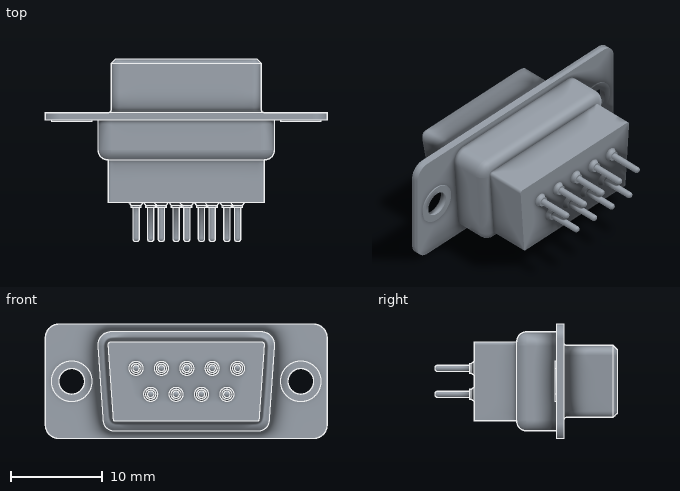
import cadquery as cq
import math


flange_width = 30.8
flange_height = 12.55
flange_thickness = 0.83
flange_corner_radius = 1.55
mount_hole_offset = 12.5
mount_hole_radius = 1.4
eyelet_radius = 2.22
eyelet_rise = 0.15
mount_hole_rounding = 0.43


body_side_angle = math.radians(4.0)
body_half_height = 4.3
body_mean_half_width = 8.25
body_top_radius = 0.35
body_bottom_radius = 0.1
body_length = 4.65

shell_offset = 1.1
shell_length = 4.35
shell_rim_radius = 1.08

plug_half_height = 3.95
plug_mean_half_width = 7.7
plug_side_angle = math.radians(10.0)
plug_length = 5.85
plug_top_radius = 0.95
plug_bottom_radius = 0.77
plug_chamfer = 0.5
plug_root_radius = 0.28

pin_pitch = 2.77
pin_row_height = 1.42
upper_row_count = 5
upper_row_start = -5.48
lower_row_count = 4
lower_row_start = -3.88
pin_length = 4.28
pin_radius = 0.355
pin_tip_radius = 0.3
collar_base_radius = 0.77
collar_neck_radius = 0.55
collar_cone_length = 0.3
collar_length = 0.52

flange_front = -flange_thickness
shell_half_height = body_half_height + shell_offset
shell_mean_half_width = body_mean_half_width + shell_offset / math.cos(body_side_angle)
shell_front = flange_front - shell_length
body_front = shell_front - body_length


def front_plane(y):
    """Sketch plane at depth y with its normal toward -Y, so extrusion runs forward."""
    return cq.Workplane("XZ", origin=(0, y, 0))


def d_prism(y_front, y_back, half_height, mean_half_width, side_angle, top_radius, bottom_radius):
    """Prism of a D outline with rounded corners."""
    lean = half_height * math.tan(side_angle)
    top = mean_half_width + lean
    bottom = mean_half_width - lean
    outline = [
        (-bottom, -half_height),
        (bottom, -half_height),
        (top, half_height),
        (-top, half_height),
    ]
    prism = front_plane(y_back).polyline(outline).close().extrude(y_back - y_front)
    prism = prism.faces(">Z").edges("|Y").fillet(top_radius)
    return prism.faces("<Z").edges("|Y").fillet(bottom_radius)


def make_flange():
    plate = (
        front_plane(0)
        .rect(flange_width, flange_height)
        .extrude(flange_thickness)
        .edges("|Y")
        .fillet(flange_corner_radius)
    )
    hole_centres = [(-mount_hole_offset, 0), (mount_hole_offset, 0)]
    eyelets = (
        front_plane(0)
        .pushPoints(hole_centres)
        .circle(eyelet_radius)
        .extrude(flange_thickness + eyelet_rise)
    )
    holes = (
        front_plane(0)
        .pushPoints(hole_centres)
        .circle(mount_hole_radius)
        .extrude(flange_thickness + eyelet_rise)
    )
    flange = plate.union(eyelets).cut(holes)
    return flange.faces(">Y").edges("%CIRCLE").edges(cq.selectors.RadiusNthSelector(0)).fillet(mount_hole_rounding)


def make_shell():
    shell = d_prism(
        shell_front,
        flange_front,
        shell_half_height,
        shell_mean_half_width,
        body_side_angle,
        body_top_radius + shell_offset,
        body_bottom_radius + shell_offset,
    )
    return shell.faces("<Y").edges().fillet(shell_rim_radius)


def make_body():
    return d_prism(
        body_front,
        flange_front,
        body_half_height,
        body_mean_half_width,
        body_side_angle,
        body_top_radius,
        body_bottom_radius,
    )


def make_plug():
    plug = d_prism(
        0,
        plug_length,
        plug_half_height,
        plug_mean_half_width,
        plug_side_angle,
        plug_top_radius,
        plug_bottom_radius,
    )
    return plug.faces(">Y").chamfer(plug_chamfer)


def make_pin(x, z):
    """Round-tipped pin standing on a conical collar, on the front of the body."""
    foot = front_plane(body_front).center(x, z)
    pin = foot.circle(pin_radius).extrude(pin_length).faces("<Y").edges().fillet(pin_tip_radius)
    neck = foot.circle(collar_neck_radius).extrude(collar_length)
    cone = cq.Solid.makeCone(
        collar_base_radius,
        collar_neck_radius,
        collar_cone_length,
        pnt=cq.Vector(x, body_front, z),
        dir=cq.Vector(0, -1, 0),
    )
    return pin.union(neck).union(cq.Workplane(cone))


result = make_flange().union(make_plug())
root_edges = cq.selectors.BoxSelector(
    (-mount_hole_offset + mount_hole_radius, -0.03, -flange_height / 2 + 0.3),
    (mount_hole_offset - mount_hole_radius, 0.03, flange_height / 2 - 0.3),
)
result = result.edges(root_edges).fillet(plug_root_radius)
result = result.union(make_shell()).union(make_body())

for column in range(upper_row_count):
    result = result.union(make_pin(upper_row_start + column * pin_pitch, pin_row_height))
for column in range(lower_row_count):
    result = result.union(make_pin(lower_row_start + column * pin_pitch, -pin_row_height))